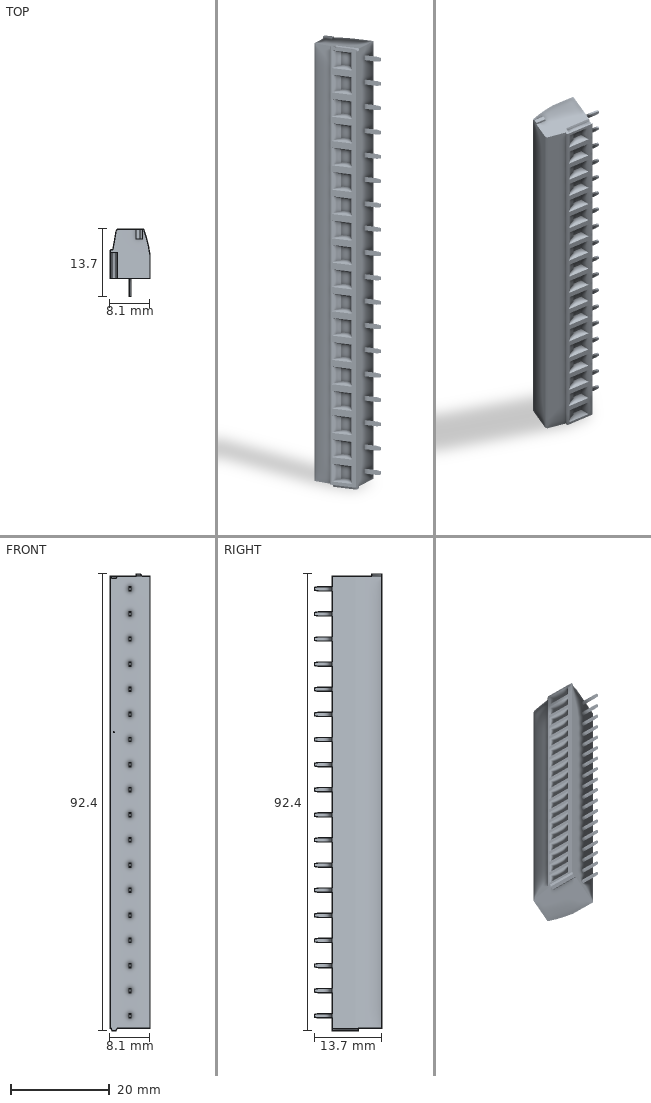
import cadquery as cq

POLES = 18
PITCH = 5.08
OVERALL_HEIGHT = 92.44
BODY_HEIGHT = POLES * PITCH

BODY_WIDTH = 8.1
BODY_DEPTH = 10.05
LEFT = -BODY_WIDTH / 2
RIGHT = BODY_WIDTH / 2
STEP_Y = 5.9
STEP_WIDTH = 0.55
STEP_CHAMFER = 0.2
BACK_LEFT = -2.85
BACK_RIGHT = 2.75
BACK_CHAMFER_X = 0.25
BACK_CHAMFER_Y = 0.35
FLANK_START_Y = 4.75
FLANK_MID = (3.5, 7.6)

OPENING_DEPTH = 1.3
MOUTH_FRONT_Y = 0.95
MOUTH_BACK_Y = 5.4
FLOOR_FRONT_Y = 1.9
FLOOR_BACK_Y = 3.85
LIP_OUTER_Y = 4.7
LIP_OUTER_DEPTH = 0.7
LIP_INNER_DEPTH = 1.0
MOUTH_HEIGHT = 3.7
FLOOR_HEIGHT = 2.6

PIN_LENGTH = 3.6
PIN_THICKNESS = 0.4
PIN_WIDTH = 0.9
PIN_TIP_WIDTH = 0.6
PIN_TIP_LENGTH = 0.8

RAIL_HEIGHT = 0.5
RAIL_LENGTH = 5.3
RAIL_INSET = 0.8
RAIL_CENTER_X = LEFT + RAIL_INSET
RAIL_BASE_WIDTH = 1.35
RAIL_TIP_WIDTH = 0.8
TAB_HEIGHT = OVERALL_HEIGHT - BODY_HEIGHT - RAIL_HEIGHT
TAB_LENGTH = 2.05
TAB_LEFT_X = 1.2
TAB_BASE_WIDTH = 1.3
TAB_TIP_WIDTH = 0.85


def make_body():
    """Extrude the housing cross-section along Z."""
    return (
        cq.Workplane("XY")
        .moveTo(LEFT, 0)
        .lineTo(RIGHT, 0)
        .lineTo(RIGHT, FLANK_START_Y)
        .threePointArc(FLANK_MID, (BACK_RIGHT, BODY_DEPTH))
        .lineTo(BACK_LEFT + BACK_CHAMFER_X, BODY_DEPTH)
        .lineTo(BACK_LEFT, BODY_DEPTH - BACK_CHAMFER_Y)
        .lineTo(LEFT + STEP_WIDTH, STEP_Y)
        .lineTo(LEFT + STEP_CHAMFER, STEP_Y)
        .lineTo(LEFT, STEP_Y - STEP_CHAMFER)
        .close()
        .extrude(BODY_HEIGHT)
    )


def make_rail(base_z):
    """Rail along Y, narrowing downward from base_z."""
    return (
        cq.Workplane("XZ", origin=(RAIL_CENTER_X, 0, base_z))
        .polyline([
            (-RAIL_BASE_WIDTH / 2, 0),
            (RAIL_BASE_WIDTH / 2, 0),
            (RAIL_TIP_WIDTH / 2, -RAIL_HEIGHT),
            (-RAIL_TIP_WIDTH / 2, -RAIL_HEIGHT),
        ])
        .close()
        .extrude(-RAIL_LENGTH)
    )


def make_tab():
    """Small tab on the top face, flush with the back, sloping on its +X side."""
    return (
        cq.Workplane("XZ", origin=(TAB_LEFT_X, BODY_DEPTH, BODY_HEIGHT))
        .polyline([(0, 0), (TAB_BASE_WIDTH, 0), (TAB_TIP_WIDTH, TAB_HEIGHT), (0, TAB_HEIGHT)])
        .close()
        .extrude(TAB_LENGTH)
    )


def make_wire_opening(center_z):
    """Blind funnel entering along +X: a depth profile limited by sloping top and bottom walls."""
    floor_x = LEFT + OPENING_DEPTH
    depth_profile = (
        cq.Workplane("XY", origin=(0, 0, center_z - MOUTH_HEIGHT / 2))
        .polyline([
            (LEFT, MOUTH_FRONT_Y),
            (floor_x, FLOOR_FRONT_Y),
            (floor_x, FLOOR_BACK_Y),
            (LEFT + LIP_INNER_DEPTH, FLOOR_BACK_Y),
            (LEFT + LIP_OUTER_DEPTH, LIP_OUTER_Y),
            (LEFT, MOUTH_BACK_Y),
        ])
        .close()
        .extrude(MOUTH_HEIGHT)
    )
    height_taper = (
        cq.Workplane("XZ", origin=(0, MOUTH_FRONT_Y, center_z))
        .polyline([
            (LEFT, -MOUTH_HEIGHT / 2),
            (floor_x, -FLOOR_HEIGHT / 2),
            (floor_x, FLOOR_HEIGHT / 2),
            (LEFT, MOUTH_HEIGHT / 2),
        ])
        .close()
        .extrude(MOUTH_FRONT_Y - MOUTH_BACK_Y)
    )
    return depth_profile.intersect(height_taper)


def make_pin(center_z):
    """Flat solder pin pointing along -Y with a tapered tip."""
    shoulder_y = PIN_TIP_LENGTH - PIN_LENGTH
    return (
        cq.Workplane("YZ", origin=(-PIN_THICKNESS / 2, 0, center_z))
        .polyline([
            (0, -PIN_WIDTH / 2),
            (0, PIN_WIDTH / 2),
            (shoulder_y, PIN_WIDTH / 2),
            (-PIN_LENGTH, PIN_TIP_WIDTH / 2),
            (-PIN_LENGTH, -PIN_TIP_WIDTH / 2),
            (shoulder_y, -PIN_WIDTH / 2),
        ])
        .close()
        .extrude(PIN_THICKNESS)
    )


result = make_body().union(make_rail(0)).cut(make_rail(BODY_HEIGHT)).union(make_tab())

for pole in range(POLES):
    pole_z = (pole + 0.5) * PITCH
    result = result.cut(make_wire_opening(pole_z)).union(make_pin(pole_z))